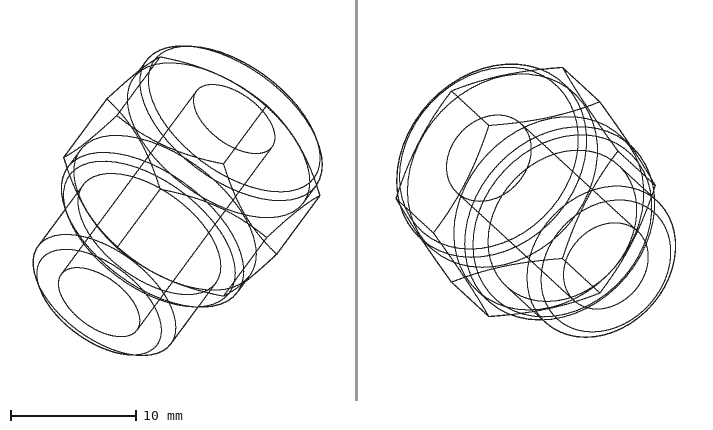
import cadquery as cq
import math

total_length = 21.5
spigot_length = 8.0
collar_length = 2.5
hex_length = total_length - spigot_length - 2 * collar_length

hex_across_flats = 17.0
hex_across_corners = hex_across_flats / math.cos(math.radians(30))
hex_chamfer_angle = 30.0
collar_diameter = 16.81
collar_chamfer = 0.5
spigot_diameter = 13.15
spigot_chamfer = 0.84
bore_diameter = 7.5

collar_start = spigot_length
hex_start = collar_start + collar_length
hex_end = hex_start + hex_length


def section_at(y):
    """Sketch plane across the axis, extruding toward +Y."""
    return cq.Workplane("XZ", origin=(0, y, 0))


def cylinder(diameter, start, length):
    return section_at(start).circle(diameter / 2).extrude(-length)


def chamfered_hexagon():
    """Hexagon with corners on X, its ends turned to a cone that starts at the collars."""
    prism = section_at(hex_start).polygon(6, hex_across_corners).extrude(-hex_length)
    collar_radius = collar_diameter / 2
    corner_radius = hex_across_corners / 2
    corner_drop = (corner_radius - collar_radius) * math.tan(math.radians(hex_chamfer_angle))
    turned_envelope = (
        cq.Workplane("XY")
        .moveTo(0, hex_start)
        .lineTo(collar_radius, hex_start)
        .lineTo(corner_radius, hex_start + corner_drop)
        .lineTo(corner_radius, hex_end - corner_drop)
        .lineTo(collar_radius, hex_end)
        .lineTo(0, hex_end)
        .close()
        .revolve(360, (0, 0, 0), (0, 1, 0))
    )
    return prism.intersect(turned_envelope)


spigot = cylinder(spigot_diameter, 0, spigot_length).faces("<Y").chamfer(spigot_chamfer)
front_collar = cylinder(collar_diameter, collar_start, collar_length).faces("<Y").chamfer(collar_chamfer)
rear_collar = cylinder(collar_diameter, hex_end, collar_length).faces(">Y").chamfer(collar_chamfer)
bore = cylinder(bore_diameter, 0, total_length)

body = chamfered_hexagon().union(front_collar).union(rear_collar).union(spigot)
result = body.cut(bore)